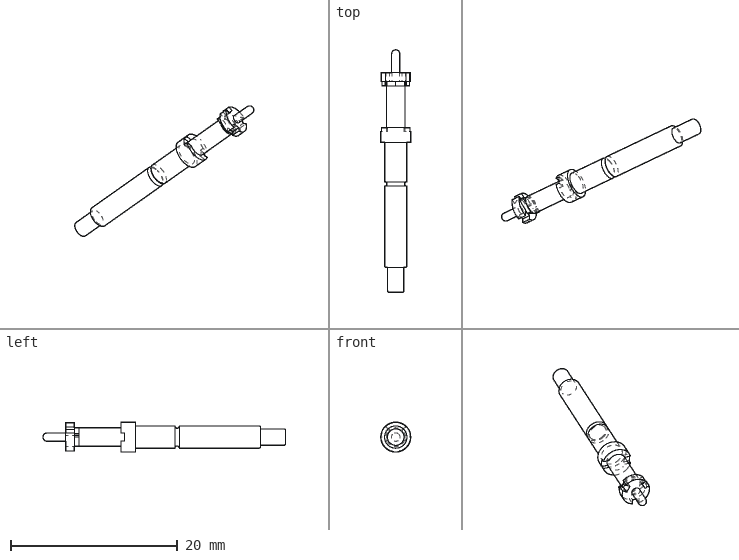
import cadquery as cq

length = 29.1
tip_y = length / 2
tail_end_y = -length / 2

plunger_diameter = 1.02
plunger_radius = plunger_diameter / 2
head_radius = 1.75
neck_diameter = 2.25
neck_radius = neck_diameter / 2
collar_radius = 1.8
body_radius = 1.35
tail_radius = 1.0

head_front_y = 11.81
head_back_y = 10.77
neck_front_y = 10.2
collar_front_y = 5.2
collar_back_y = 3.43
body_back_y = -11.55

body_round = 0.17
tail_round = 0.2

groove_y = -1.55
groove_radius = 0.25

slot_angles = (30, 150, 270)
slot_width = 0.85
slot_floor_distance = neck_radius
rhombus_half_width = 1.65
rhombus_half_height = neck_radius

notch_width = 1.0
notch_depth = 0.47


def disc(radius, front_y, back_y):
    """Cylinder about Y between two positions."""
    return cq.Workplane("XZ", origin=(0, front_y, 0)).circle(radius).extrude(front_y - back_y)


def make_plunger():
    """Thin plunger with a hemispherical tip."""
    tip_centre_y = tip_y - plunger_radius
    tip = cq.Workplane("XY", origin=(0, tip_centre_y, 0)).sphere(plunger_radius)
    return disc(plunger_radius, tip_centre_y, head_front_y).union(tip)


def make_head():
    """Round head on a rhombic section, both cut by three slots."""
    rhombus_corners = [
        (rhombus_half_width, 0),
        (0, rhombus_half_height),
        (-rhombus_half_width, 0),
        (0, -rhombus_half_height),
    ]
    rhombus = (
        cq.Workplane("XZ", origin=(0, head_back_y, 0))
        .polyline(rhombus_corners)
        .close()
        .extrude(head_back_y - neck_front_y)
    )
    head = disc(head_radius, head_front_y, head_back_y).union(rhombus)

    slot = cq.Workplane("XY").box(
        head_radius,
        head_front_y - neck_front_y,
        slot_width,
        centered=(False, False, True),
    ).translate((slot_floor_distance, neck_front_y, 0))
    for angle in slot_angles:
        head = head.cut(slot.rotate((0, 0, 0), (0, 1, 0), -angle))
    return head


def make_collar():
    """Collar with a notch down to the neck on each side."""
    collar = disc(collar_radius, collar_front_y, collar_back_y)
    notches = (
        cq.Workplane("XY", origin=(0, collar_front_y - notch_depth / 2, 0))
        .box(2 * collar_radius, notch_depth, notch_width)
    )
    return collar.cut(notches)


def make_body():
    """Long body with a half-round groove and a rounded back edge."""
    body = disc(body_radius, collar_back_y, body_back_y).faces("<Y").edges().fillet(body_round)
    groove = (
        cq.Workplane("XY")
        .center(body_radius, groove_y)
        .circle(groove_radius)
        .revolve(360, (-body_radius, 0, 0), (-body_radius, 1, 0))
    )
    return body.cut(groove)


def make_tail():
    """Tail with a rounded end edge."""
    return disc(tail_radius, body_back_y, tail_end_y).faces("<Y").edges().fillet(tail_round)


neck = disc(neck_radius, neck_front_y, collar_back_y)

result = (
    make_body()
    .union(make_collar())
    .union(neck)
    .union(make_head())
    .union(make_plunger())
    .union(make_tail())
)